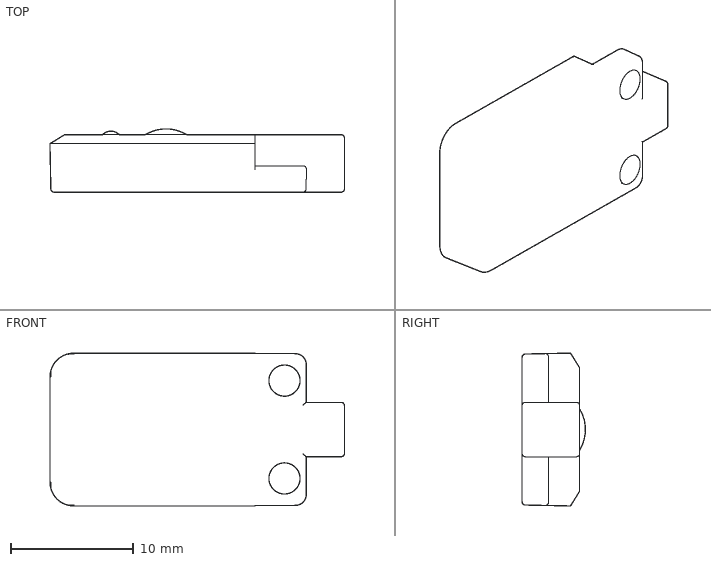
import cadquery as cq
import math

total_length = 24.1
case_width = 12.5
case_thickness = 4.72
case_length = 21.02
edge_radius = 0.3

wall_draft = 0.07
band_start = 3.69
bevel_start = 3.98
bevel_width = 1.2
closed_end_radius = 1.95
open_end_radius = 0.96

step_x = 16.77
step_height = 2.17

connector_width = 4.45

hole_diameter = 2.53
hole_x = 19.18
hole_spacing = 8.0

main_dome = (9.5, 1.69, 0.48)
small_dome = (5.0, 0.67, 0.3)



def rounded_outline(y, x_start, x_end, width, start_radius, end_radius):
    """Rectangle with separate corner radii at its low-X and high-X ends."""
    half = width / 2
    diagonal = 1 - math.sqrt(0.5)
    start_mid = start_radius * diagonal
    end_mid = end_radius * diagonal
    return (
        cq.Workplane("XZ", origin=(0, y, 0))
        .moveTo(x_start + start_radius, -half)
        .lineTo(x_end - end_radius, -half)
        .threePointArc((x_end - end_mid, -half + end_mid), (x_end, -half + end_radius))
        .lineTo(x_end, half - end_radius)
        .threePointArc((x_end - end_mid, half - end_mid), (x_end - end_radius, half))
        .lineTo(x_start + start_radius, half)
        .threePointArc((x_start + start_mid, half - start_mid), (x_start, half - start_radius))
        .lineTo(x_start, -half + start_radius)
        .threePointArc((x_start + start_mid, -half + start_mid), (x_start + start_radius, -half))
        .close()
    )


def full_outline(y):
    return rounded_outline(y, 0, case_length, case_width, closed_end_radius, open_end_radius)


def make_case():
    """Drafted case with a bevelled back, stepped down at the open end."""
    draft_angle = math.degrees(math.atan(wall_draft / band_start))
    bevel_height = case_thickness - bevel_start
    bevel_angle = math.degrees(math.atan(bevel_width / bevel_height))

    case = full_outline(band_start).extrude(band_start, taper=draft_angle)
    case = case.faces("<Y").edges().fillet(edge_radius)
    step_cut = cq.Workplane("XY").box(
        total_length, case_thickness, case_width, centered=(False, False, True)
    ).translate((step_x, step_height, 0))
    stub = case.cut(step_cut)
    pick_margin = 0.02
    ledge = cq.selectors.BoxSelector(
        (step_x + pick_margin, step_height - pick_margin, -case_width),
        (total_length, step_height + pick_margin, case_width),
    )
    stub = stub.faces(ledge).edges("not <X").fillet(edge_radius)

    band = full_outline(band_start).extrude(band_start - bevel_start)
    bevel = rounded_outline(
        bevel_start, 0, total_length, case_width, closed_end_radius, closed_end_radius
    ).extrude(-bevel_height, taper=bevel_angle)
    return stub.union(band.union(bevel).cut(step_cut))


def make_connector():
    """Full-thickness tongue with rounded long edges and free end."""
    tongue = cq.Workplane("XY").box(
        total_length - step_x, case_thickness, connector_width, centered=(False, False, True)
    ).translate((step_x, 0, 0))
    return tongue.edges("|X or >X").fillet(edge_radius)


def make_dome(x, base_radius, height):
    """Spherical cap standing on the back face."""
    sphere_radius = (base_radius**2 + height**2) / (2 * height)
    centre_y = case_thickness + height - sphere_radius
    sphere = cq.Workplane("XY").sphere(sphere_radius).translate((x, centre_y, 0))
    keep = (
        cq.Workplane("XZ", origin=(x, bevel_start, 0))
        .circle(base_radius)
        .extrude(bevel_start - case_thickness - height)
    )
    return sphere.intersect(keep)


def make_holes():
    return (
        cq.Workplane("XZ")
        .pushPoints([(hole_x, hole_spacing / 2), (hole_x, -hole_spacing / 2)])
        .circle(hole_diameter / 2)
        .extrude(-case_thickness)
    )


result = make_case().union(make_connector()).cut(make_holes())
for dome in (main_dome, small_dome):
    result = result.union(make_dome(*dome))